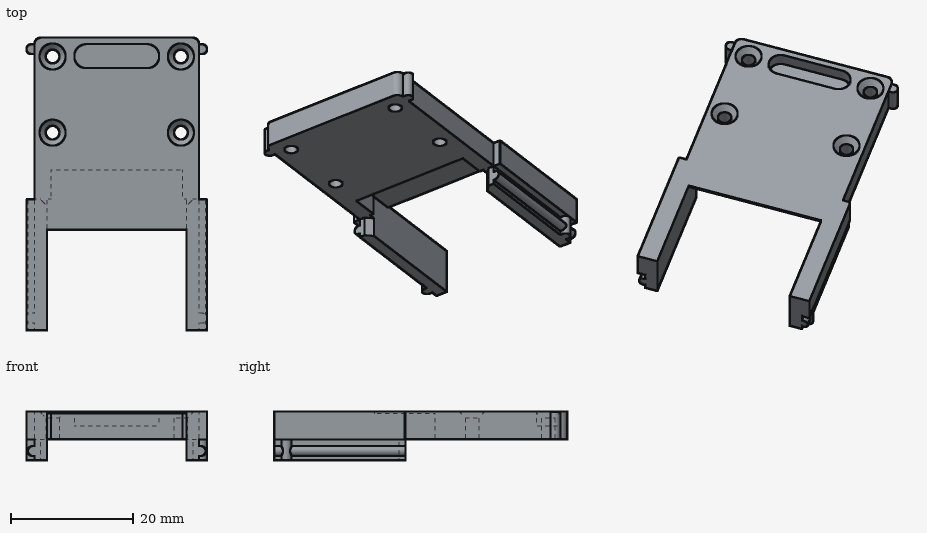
import cadquery as cq

length = 48.0
width = 29.6
height = 8.0

plate_width = 27.0
plate_thickness = 4.55
rear_corner_radius = 1.15
arm_length = 21.5
shoulder_chamfer = 0.15
lower_arm_chamfer = 1.1
arm_inner_gap = 22.85
notch_depth = 16.45

lid_thickness = 0.35
inner_pocket_width = 21.5
inner_pocket_depth = 4.8

hole_diameter = 2.2
countersink_diameter = 4.25
countersink_angle = 90.0
hole_spacing_x = 21.0
hole_spacing_y = 12.5
rear_hole_inset = 3.1

slot_length = 13.9
slot_width = 3.95
slot_depth = 2.4
slot_inset = 3.05

pin_radius = 0.8
rear_pin_inset = 1.9
rear_pin_top_gap = 0.1
front_pin_inset = 2.0
rail_radius = 0.8
rail_reach = 1.05
rail_height = 1.55

rear_y = length / 2
front_y = -length / 2
shoulder_y = front_y + arm_length
notch_y = front_y + notch_depth
side_x = plate_width / 2
lower_arm_height = height - plate_thickness
corner_margin = 0.5
pin_reach = (width - plate_width) / 2


def block(x_size, y_min, y_max, z_min, z_max):
    """Box centred on X, spanning the given Y and Z ranges."""
    return (
        cq.Workplane("XY", origin=(0, 0, z_min))
        .center(0, (y_min + y_max) / 2)
        .rect(x_size, y_max - y_min)
        .extrude(z_max - z_min)
    )


def round_nosed_rib(plane, radius, reach, rib_length):
    """Rib along the plane's normal, standing out from the -X side wall with a half-round nose."""
    nose_start = -side_x - (reach - radius)
    return (
        cq.Workplane(plane)
        .moveTo(-side_x + radius, -radius)
        .lineTo(nose_start, -radius)
        .threePointArc((-side_x - reach, 0), (nose_start, radius))
        .lineTo(-side_x + radius, radius)
        .close()
        .extrude(rib_length)
    )


def make_body():
    """Plate with two stepped arms, the notch between them and the pocket behind it."""
    plate = block(plate_width, shoulder_y, rear_y, -plate_thickness, 0)
    plate = plate.edges("|Z and >Y").fillet(rear_corner_radius)
    upper_arms = block(width, front_y, shoulder_y, -plate_thickness, 0)
    upper_arms = upper_arms.edges("|Z and >Y").chamfer(shoulder_chamfer)
    lower_arms = block(plate_width, front_y, shoulder_y, -height, -plate_thickness)
    lower_gap = block(arm_inner_gap, front_y, shoulder_y, -height, -plate_thickness)
    lower_arms = lower_arms.cut(lower_gap)
    inner_rear_corners = cq.selectors.BoxSelector(
        (-side_x + corner_margin, shoulder_y - corner_margin, -height),
        (side_x - corner_margin, shoulder_y + corner_margin, 0),
    )
    lower_arms = lower_arms.edges("|Z").edges(inner_rear_corners).chamfer(lower_arm_chamfer)
    notch = block(arm_inner_gap, front_y, notch_y, -plate_thickness, 0)
    outer_pocket = block(arm_inner_gap, notch_y, shoulder_y, -plate_thickness, -lid_thickness)
    inner_pocket = block(
        inner_pocket_width,
        shoulder_y,
        shoulder_y + inner_pocket_depth,
        -plate_thickness,
        -lid_thickness,
    )
    body = plate.union(upper_arms).union(lower_arms)
    return body.cut(notch).cut(outer_pocket).cut(inner_pocket)


def add_side_ribs(body):
    """Rear pins, front pins and lengthwise rails, mirrored onto both sides."""
    rear_pin_plane = cq.Plane((0, rear_y - rear_pin_inset, -plate_thickness))
    front_pin_plane = cq.Plane((0, front_y + front_pin_inset, -height))
    rail_plane = cq.Plane((0, shoulder_y, rail_height - height), (1, 0, 0), (0, -1, 0))
    ribs = [
        round_nosed_rib(rear_pin_plane, pin_radius, pin_reach, plate_thickness - rear_pin_top_gap),
        round_nosed_rib(front_pin_plane, pin_radius, pin_reach, lower_arm_height),
        round_nosed_rib(rail_plane, rail_radius, rail_reach, arm_length),
    ]
    for rib in ribs:
        body = body.union(rib).union(rib.mirror("YZ"))
    return body


def cut_screw_holes(body):
    rear_row_y = rear_y - rear_hole_inset
    centres = [
        (x, y)
        for x in (-hole_spacing_x / 2, hole_spacing_x / 2)
        for y in (rear_row_y, rear_row_y - hole_spacing_y)
    ]
    return (
        body.faces(">Z")
        .workplane(origin=(0, 0, 0))
        .pushPoints(centres)
        .cskHole(hole_diameter, countersink_diameter, countersink_angle)
    )


def cut_slot(body):
    slot = (
        cq.Workplane("XY")
        .center(0, rear_y - slot_inset)
        .slot2D(slot_length, slot_width)
        .extrude(-slot_depth)
    )
    return body.cut(slot)


result = cut_slot(cut_screw_holes(add_side_ribs(make_body())))